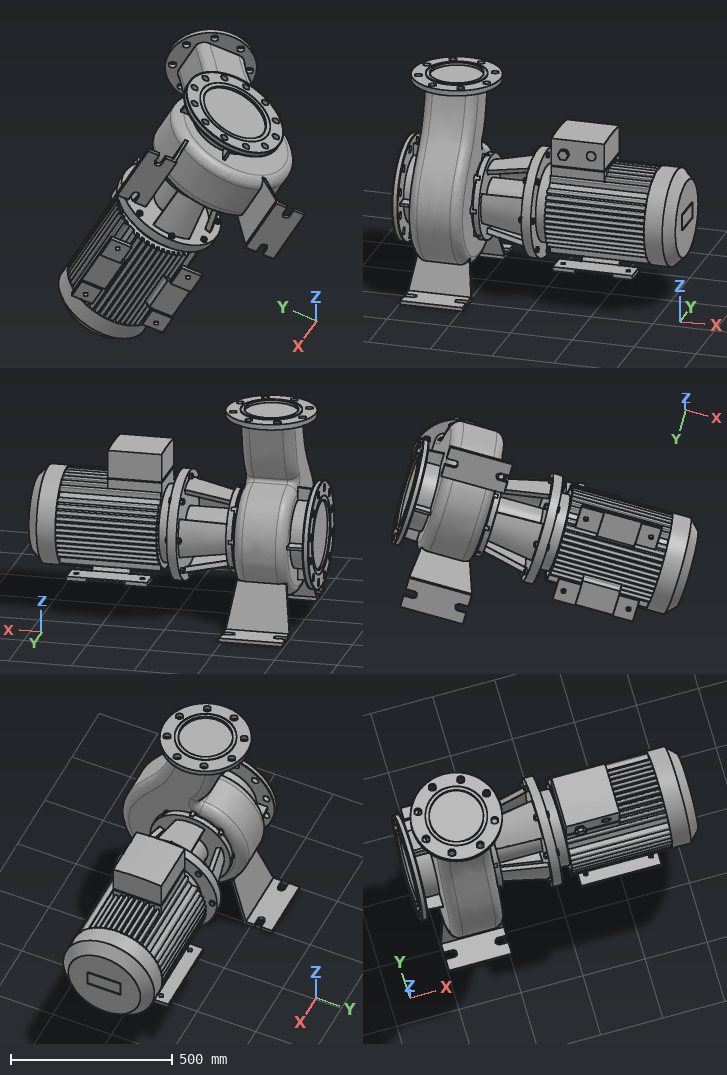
import cadquery as cq
import math


suction_flange_end = 20.0
casing_start = 74.0
casing_width = 170.5
casing_mid = casing_start + casing_width / 2
casing_end = casing_start + casing_width
bracket_plate_start = 253.0
bracket_plate_end = 272.0
motor_flange_start = 421.0
motor_flange_end = 452.0
motor_body_start = 490.0
fan_cover_start = 812.0
fan_cover_end = 904.0
overall_length = 907.0

suction_flange_diameter = 340.0
suction_face_diameter = 247.0
suction_face_depth = 1.0
suction_bore_diameter = 219.5
bore_depth = 8.0
rim_groove_margin = 3.0
rim_groove_depth = 1.0
suction_hole_count = 12
suction_hole_circle_radius = 148.0
flange_hole_diameter = 23.0
suction_rib_thickness = 8.0
suction_rib_radius_at_flange = 148.0
suction_rib_radius_at_casing = 151.5

volute_radii = [163.0, 167.0, 172.0, 183.0, 203.0, 236.0, 256.0]
volute_step_angle = 45
neck_half_width = 84.0
casing_fillet = 32.0
cutwater_fillet = 9.0
discharge_top = 400.0
discharge_face_height = 3.0
discharge_flange_thickness = 17.0
discharge_flange_top = discharge_top - discharge_face_height
discharge_flange_base = discharge_flange_top - discharge_flange_thickness
discharge_flange_diameter = 285.0
discharge_face_diameter = 192.0
discharge_bore_diameter = 169.0
discharge_hole_count = 8
discharge_hole_circle_radius = 120.0

overall_height = 680.0
foot_bottom = discharge_top - overall_height
foot_thickness = 13.0
foot_top = foot_bottom + foot_thickness
foot_outer_y = 275.0
foot_inner_y = 175.0
foot_length = 203.0
foot_slot_y = 225.0
foot_slot_width = 23.0
foot_slot_length = 39.0
foot_leg_thickness = 10.0
foot_leg_lean = 20
foot_leg_taper = 9
near_leg_top = -158.0
far_leg_top = -123.0

back_boss_diameter = 247.0
bracket_plate_diameter = 274.0
stud_boss_diameter = 26.0
stud_boss_circle_radius = 125.0
stud_boss_end = 264.0
stud_boss_count = 8
shaft_guard_diameter = 120.0
motor_flange_diameter = 350.0
bracket_leg_count = 4
bracket_leg_sector = 50
bracket_leg_thickness = 18.0
bracket_leg_radius_at_plate = 116.0
bracket_leg_radius_at_flange = 150.0

bolt_count = 8
bolt_circle_radius = 160.0
bolt_shank_diameter = 10.0
bolt_hex_across_flats = 16.0
bolt_nut_height = 8.0
bolt_head_height = 5.0
bolt_end_projection = 11.0

motor_nose_diameter = 247.0
motor_core_diameter = 285.0
motor_outer_diameter = 312.0
fin_thickness = 10.0
fins_per_side = 11
fin_row_width = 178.0
fan_cover_chamfer = 33.0
end_plate_width = 112.5
end_plate_height = 51.0
end_plate_mid_z = 7.0

box_length = 172.0
box_half_width = 82.5
box_edge_top = 251.0
box_crown = 4.5
box_seam_z = 158.0
box_seam_height = 3.0
box_seam_depth = 2.0
gland_z = 206.0
gland_x = motor_body_start + 43.5
gland_neck_diameter = 26.0
gland_neck_length = 6.0
gland_hex_across_flats = 30.0
gland_hex_length = 12.0
blank_entry_x = motor_body_start + 130.0
blank_entry_diameter = 30.0
blank_entry_depth = 1.0

motor_foot_start = 517.0
motor_foot_length = 259.0
motor_foot_outer_y = 160.0
motor_foot_width = 72.0
motor_foot_inner_y = motor_foot_outer_y - motor_foot_width
motor_foot_top = -145.0
motor_foot_thickness = 14.5
motor_foot_relief_height = 8.0
motor_foot_relief_length = 121.5
motor_foot_relief_mid_x = motor_foot_start + 133.0
motor_foot_hole_diameter = 14.0
motor_foot_hole_inset = 24.5
motor_web_rise = 33.0
motor_web_run = 26.0
motor_web_thickness = 11.0


def disc(start, end, diameter):
    """Cylinder on the shaft axis between two X stations."""
    return cq.Workplane("YZ").workplane(offset=start).circle(diameter / 2).extrude(end - start)


def pins_around_shaft(start, end, diameter, count, circle_radius, first_angle=0):
    """Ring of cylinders parallel to the shaft axis."""
    return (
        cq.Workplane("YZ").workplane(offset=start)
        .polarArray(circle_radius, first_angle, 360, count)
        .circle(diameter / 2).extrude(end - start)
    )


def make_volute():
    """Spiral casing that runs from the cutwater around the shaft into the discharge neck."""
    spiral = []
    for step, radius in enumerate(volute_radii):
        angle = math.radians(90 - step * volute_step_angle)
        spiral.append((radius * math.cos(angle), radius * math.sin(angle)))
    neck_inner_side = [(68.0, 316.5), (42.0, 221.0)]
    neck_outer_side = [(-239.0, 83.0), (-190.0, 163.0), (-137.0, 230.0), (-102.5, 304.0)]
    neck_end = (-neck_half_width, discharge_flange_base)
    outline = (
        cq.Workplane("YZ").workplane(offset=casing_start)
        .moveTo(neck_half_width, discharge_flange_base)
        .spline(neck_inner_side + [spiral[0]], includeCurrent=True)
        .spline(spiral[1:] + neck_outer_side + [neck_end], includeCurrent=True)
        .close()
    )
    volute = outline.extrude(casing_width)
    cutwater = cq.selectors.NearestToPointSelector((casing_mid, *spiral[0]))
    volute = volute.edges("|X").edges(cutwater).fillet(cutwater_fillet)
    return volute.edges("not(|X or >Z)").fillet(casing_fillet)


def make_discharge_flange():
    base = cq.Workplane("XY", origin=(casing_mid, 0, discharge_flange_base))
    flange = base.circle(discharge_flange_diameter / 2).extrude(discharge_flange_thickness)
    face_height = discharge_flange_thickness + discharge_face_height
    flange = flange.union(base.circle(discharge_face_diameter / 2).extrude(face_height))
    half_pitch = 180 / discharge_hole_count
    holes = (
        base.polarArray(discharge_hole_circle_radius, half_pitch, 360, discharge_hole_count)
        .circle(flange_hole_diameter / 2).extrude(discharge_flange_thickness)
    )
    bore = (
        base.workplane(offset=face_height - bore_depth)
        .circle(discharge_bore_diameter / 2).extrude(bore_depth)
    )
    return flange.cut(holes).cut(bore)


def make_suction_branch():
    """Suction flange, its pipe and four ribs."""
    flange = disc(0, suction_flange_end, suction_flange_diameter)
    groove_start = rim_groove_margin
    groove_end = suction_flange_end - rim_groove_margin
    groove_floor = suction_flange_diameter - 2 * rim_groove_depth
    groove = disc(groove_start, groove_end, suction_flange_diameter)
    groove = groove.cut(disc(groove_start, groove_end, groove_floor))
    holes = pins_around_shaft(
        0, suction_flange_end, flange_hole_diameter,
        suction_hole_count, suction_hole_circle_radius, 180 / suction_hole_count,
    )
    branch = flange.cut(groove).cut(holes)
    branch = branch.union(disc(0, casing_start, suction_bore_diameter))
    rib = (
        cq.Workplane("XZ").workplane(offset=-suction_rib_thickness / 2)
        .polyline([
            (suction_flange_end, 0),
            (suction_flange_end, suction_rib_radius_at_flange),
            (casing_start, suction_rib_radius_at_casing),
            (casing_start, 0),
        ])
        .close().extrude(suction_rib_thickness)
    )
    for quarter in range(4):
        branch = branch.union(rib.rotate((0, 0, 0), (1, 0, 0), 90 * quarter))
    branch = branch.cut(disc(0, suction_face_depth, suction_face_diameter))
    return branch.cut(disc(0, bore_depth, suction_bore_diameter))


def make_casing_foot(leg_top):
    """Slotted foot plate on the +Y side with a leaning, tapered leg."""
    plate = (
        cq.Workplane("XY", origin=(casing_mid, (foot_outer_y + foot_inner_y) / 2, foot_bottom))
        .rect(foot_length, foot_outer_y - foot_inner_y).extrude(foot_thickness)
    )
    for side in (-1, 1):
        end_x = casing_mid + side * foot_length / 2
        slot = (
            cq.Workplane("XY", origin=(end_x, foot_slot_y, foot_bottom))
            .slot2D(2 * foot_slot_length, foot_slot_width).extrude(foot_thickness)
        )
        plate = plate.cut(slot)
    rise = leg_top - foot_top
    lean = rise * math.tan(math.radians(foot_leg_lean))
    leg = (
        cq.Workplane("YZ").workplane(offset=casing_mid - foot_length / 2)
        .polyline([
            (foot_inner_y, foot_top),
            (foot_inner_y + foot_leg_thickness, foot_top),
            (foot_inner_y + foot_leg_thickness - lean, leg_top),
            (foot_inner_y - lean, leg_top),
        ])
        .close().extrude(foot_length)
    )
    taper = rise * math.tan(math.radians(foot_leg_taper))
    face_outline = (
        cq.Workplane("XZ", origin=(casing_mid, 0, 0))
        .polyline([
            (-foot_length / 2, foot_top),
            (foot_length / 2, foot_top),
            (foot_length / 2 - taper, leg_top),
            (taper - foot_length / 2, leg_top),
        ])
        .close().extrude(-foot_outer_y)
    )
    return plate.union(leg.intersect(face_outline))


def make_bracket():
    """Back plate with stud bosses, shaft guard, four splayed legs and the motor flange."""
    bracket = disc(casing_end, bracket_plate_start, back_boss_diameter)
    bracket = bracket.union(disc(bracket_plate_start, bracket_plate_end, bracket_plate_diameter))
    bracket = bracket.union(pins_around_shaft(
        casing_end, stud_boss_end, stud_boss_diameter, stud_boss_count, stud_boss_circle_radius,
    ))
    bracket = bracket.union(disc(bracket_plate_end, motor_flange_start, shaft_guard_diameter))
    bracket = bracket.union(disc(motor_flange_start, motor_flange_end, motor_flange_diameter))
    leg = (
        cq.Workplane("XY")
        .polyline([
            (bracket_plate_end, bracket_leg_radius_at_plate),
            (motor_flange_start, bracket_leg_radius_at_flange),
            (motor_flange_start, bracket_leg_radius_at_flange - bracket_leg_thickness),
            (bracket_plate_end, bracket_leg_radius_at_plate - bracket_leg_thickness),
        ])
        .close().revolve(bracket_leg_sector, (0, 0, 0), (1, 0, 0))
    )
    for index in range(bracket_leg_count):
        angle = index * 360 / bracket_leg_count - bracket_leg_sector / 2
        bracket = bracket.union(leg.rotate((0, 0, 0), (1, 0, 0), angle))
    return bracket.cut(pins_around_shaft(
        motor_flange_start, motor_flange_end, bolt_shank_diameter, bolt_count, bolt_circle_radius,
    ))


def make_pump():
    pump = make_volute().union(make_discharge_flange()).union(make_suction_branch())
    pump = pump.union(make_casing_foot(far_leg_top))
    pump = pump.union(make_casing_foot(near_leg_top).mirror("XZ"))
    return pump.union(make_bracket())


def make_bolt(angle):
    """Bolt through the motor flange with its head on the motor side and a nut on the other."""
    hex_diameter = bolt_hex_across_flats / math.cos(math.radians(30))
    shank_start = motor_flange_start - bolt_end_projection
    nut_start = motor_flange_start - bolt_nut_height
    bolt = disc(shank_start, motor_flange_end, bolt_shank_diameter)
    for start, height in ((nut_start, bolt_nut_height), (motor_flange_end, bolt_head_height)):
        bolt = bolt.union(
            cq.Workplane("YZ").workplane(offset=start).polygon(6, hex_diameter).extrude(height)
        )
    return bolt.translate((0, bolt_circle_radius, 0)).rotate((0, 0, 0), (1, 0, 0), angle)


def make_fin_row():
    """Parallel upright fins above the core, with round tips that follow the motor outline."""
    tip_radius = fin_thickness / 2
    length = fan_cover_start - motor_body_start
    row = cq.Workplane("YZ")
    for index in range(fins_per_side):
        y = fin_row_width * (index / (fins_per_side - 1) - 0.5)
        tip = math.sqrt((motor_outer_diameter / 2) ** 2 - y ** 2)
        fin = (
            cq.Workplane("YZ").workplane(offset=motor_body_start)
            .moveTo(y - tip_radius, 0)
            .lineTo(y - tip_radius, tip - tip_radius)
            .threePointArc((y, tip), (y + tip_radius, tip - tip_radius))
            .lineTo(y + tip_radius, 0)
            .close().extrude(length)
        )
        row.add(fin)
    return row.combine()


def make_terminal_box():
    box = (
        cq.Workplane("YZ").workplane(offset=motor_body_start)
        .moveTo(-box_half_width, 0)
        .lineTo(-box_half_width, box_edge_top)
        .threePointArc((0, box_edge_top + box_crown), (box_half_width, box_edge_top))
        .lineTo(box_half_width, 0)
        .close().extrude(box_length)
    )
    seam_base = cq.Workplane(
        "XY", origin=(motor_body_start + box_length / 2, 0, box_seam_z)
    )
    seam = seam_base.rect(box_length, 2 * box_half_width).extrude(box_seam_height)
    seam = seam.cut(
        seam_base.rect(box_length - 2 * box_seam_depth, 2 * (box_half_width - box_seam_depth))
        .extrude(box_seam_height)
    )
    blank_entry = (
        cq.Workplane("XZ", origin=(blank_entry_x, -box_half_width, gland_z))
        .circle(blank_entry_diameter / 2).extrude(-blank_entry_depth)
    )
    gland_face = cq.Workplane("XZ", origin=(gland_x, -box_half_width, gland_z))
    gland_neck = gland_face.circle(gland_neck_diameter / 2).extrude(gland_neck_length)
    gland_hex = (
        gland_face.workplane(offset=gland_neck_length)
        .polygon(6, gland_hex_across_flats / math.cos(math.radians(30)))
        .extrude(gland_hex_length)
    )
    return box.cut(seam).cut(blank_entry).union(gland_neck).union(gland_hex)


def make_motor_foot():
    """Foot plate on the +Y side, relieved underneath, with a sloping web up to the core."""
    foot = (
        cq.Workplane("XY")
        .box(motor_foot_length, motor_foot_width, motor_foot_thickness, centered=False)
        .translate((motor_foot_start, motor_foot_inner_y, motor_foot_top - motor_foot_thickness))
    )
    relief = (
        cq.Workplane("XY")
        .box(motor_foot_relief_length, motor_foot_width, motor_foot_relief_height, centered=False)
        .translate((
            motor_foot_relief_mid_x - motor_foot_relief_length / 2,
            motor_foot_inner_y,
            motor_foot_top - motor_foot_thickness,
        ))
    )
    holes = (
        cq.Workplane("XY", origin=(
            motor_foot_start + motor_foot_length / 2,
            motor_foot_inner_y + motor_foot_width / 2,
            motor_foot_top,
        ))
        .rarray(motor_foot_length - 2 * motor_foot_hole_inset, 9, 2, 1)
        .circle(motor_foot_hole_diameter / 2).extrude(-motor_foot_thickness)
    )
    web_bottom = motor_foot_top - motor_foot_thickness + motor_foot_relief_height
    web_top_y = motor_foot_inner_y - motor_web_run
    web = (
        cq.Workplane("YZ").workplane(offset=motor_foot_relief_mid_x - motor_foot_relief_length / 2)
        .polyline([
            (motor_foot_inner_y, web_bottom),
            (motor_foot_inner_y, motor_foot_top),
            (web_top_y, motor_foot_top + motor_web_rise),
            (web_top_y - motor_web_thickness, motor_foot_top + motor_web_rise),
            (motor_foot_inner_y - motor_web_thickness, web_bottom),
        ])
        .close().extrude(motor_foot_relief_length)
    )
    return foot.cut(relief).cut(holes).union(web)


def make_motor():
    motor = disc(motor_flange_end, motor_body_start, motor_nose_diameter)
    motor = motor.union(disc(motor_body_start, fan_cover_start, motor_core_diameter))
    fin_row = make_fin_row()
    for quarter in range(4):
        motor = motor.union(fin_row.rotate((0, 0, 0), (1, 0, 0), 90 * quarter))
    fan_cover = disc(fan_cover_start, fan_cover_end, motor_outer_diameter)
    motor = motor.union(fan_cover.faces(">X").edges().chamfer(fan_cover_chamfer))
    end_plate = (
        cq.Workplane("YZ", origin=(fan_cover_end, 0, end_plate_mid_z))
        .rect(end_plate_width, end_plate_height).extrude(overall_length - fan_cover_end)
    )
    motor = motor.union(end_plate).union(make_terminal_box())
    foot = make_motor_foot()
    return motor.union(foot).union(foot.mirror("XZ"))


pump = make_pump()
motor = make_motor()
bolts = [make_bolt(index * 360 / bolt_count) for index in range(bolt_count)]

result = cq.Compound.makeCompound([
    pump.solids().val(),
    motor.solids().val(),
    *[bolt.solids().val() for bolt in bolts],
])